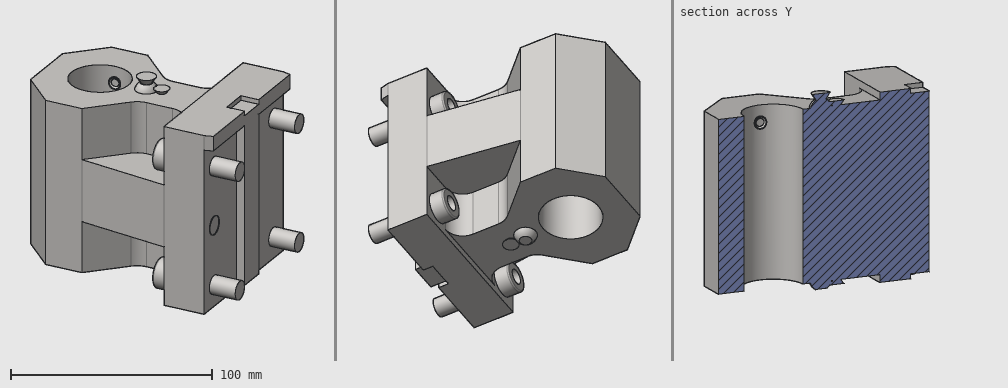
import cadquery as cq

body_height = 90.0
body_half_width = 35.0
corner_chamfer = 18.0
body_straight_end_x = 38.2
neck_half_width = 14.0
neck_radius = 10.0
web_height = 34.0

plate_front_x = 88.0
plate_thickness = 22.5
plate_width = 84.0
plate_height = 98.0
lip_depth = 4.5
lip_height = 8.0
lip_end_taper = 1.2
plate_half_width = plate_width / 2
plate_rear_x = plate_front_x + plate_thickness
lip_rear_x = plate_rear_x + lip_depth

key_width = 15.0
key_slot_depth = 10.0
key_end_gap = 2.5

bore_x = 30.0
bore_diameter = 32.0
set_screw_diameter = 6.6
set_screw_cup_diameter = 5.8
set_screw_cup_floor_diameter = 3.2
set_screw_cup_depth = 1.2
set_screw_protrusion = 0.9
set_screw_length = 7.5
set_screw_drop = 9.0

bolt_half_spacing_y = 31.5
bolt_half_spacing_z = 32.5
bolt_centre_z = -4.5
bolt_shank_diameter = 10.0
bolt_protrusion = 10.0
bolt_head_diameter = 16.0
bolt_head_height = 8.0
bolt_head_fillet = 0.8
bolt_socket_diameter = 8.0
bolt_socket_depth = 4.0
bolt_socket_cone_depth = 2.2

seal_diameter = 10.0
seal_thickness = 0.4

nozzle_x = 56.0
ball_radius = 6.1
ball_centre_depth = 1.6
ball_height = 3.6
flare_root_radius = 2.8
flare_top_radius = 5.0
flare_height = 3.4
plug_x = 64.5
plug_root_radius = 2.4
plug_top_radius = 4.1
plug_height = 2.2


def centred_prism(points, height):
    """Extrude a closed XY outline symmetrically about Z = 0."""
    return cq.Workplane("XY").polyline(points).close().extrude(height / 2, both=True)


def mirrored_outline(upper_points):
    """Close a +Y half outline with its reflection in the X axis."""
    return upper_points + [(x, -y) for x, y in reversed(upper_points)]


def box_between(x_range, width, z_range):
    """Box centred on Y = 0 between the given X and Z limits."""
    length = x_range[1] - x_range[0]
    height = z_range[1] - z_range[0]
    return (
        cq.Workplane("XY")
        .box(length, width, height, centered=(False, True, False))
        .translate((x_range[0], 0, z_range[0]))
    )


def make_body():
    """Chamfered clamping body that tapers out to the plate, relieved above and below the web."""
    outline = mirrored_outline([
        (0, body_half_width - corner_chamfer),
        (corner_chamfer, body_half_width),
        (body_straight_end_x, body_half_width),
        (plate_front_x, plate_half_width),
    ])
    body = centred_prism(outline, body_height)
    neck_start_x = body_straight_end_x + body_half_width - neck_half_width
    overshoot = plate_half_width - body_half_width
    for side in (1, -1):
        relief_points = [
            (body_straight_end_x - overshoot, side * plate_half_width),
            (neck_start_x, side * neck_half_width),
            (plate_front_x, side * neck_half_width),
            (plate_front_x, side * plate_half_width),
        ]
        relief = centred_prism(relief_points, body_height)
        neck_corner = cq.selectors.NearestToPointSelector((neck_start_x, side * neck_half_width, 0))
        plate_corner = cq.selectors.NearestToPointSelector((plate_front_x, side * neck_half_width, 0))
        for corner in (plate_corner, neck_corner):
            relief = relief.edges("|Z").edges(corner).fillet(neck_radius)
        web_gap = box_between(
            (0, plate_front_x), plate_width, (-web_height / 2, web_height / 2)
        )
        body = body.cut(relief.cut(web_gap))
    return body


def make_plate():
    """Mounting plate, top lip with tapered ends, and the slot with its key."""
    top_z = plate_height / 2
    plate = box_between((plate_front_x, plate_rear_x), plate_width, (-top_z, top_z))
    lip_outline = mirrored_outline([
        (plate_rear_x, plate_half_width),
        (lip_rear_x, plate_half_width - lip_end_taper),
    ])
    lip = (
        cq.Workplane("XY", origin=(0, 0, top_z - lip_height))
        .polyline(lip_outline)
        .close()
        .extrude(lip_height)
    )
    key_x_range = (lip_rear_x - key_slot_depth, lip_rear_x)
    key_top_z = top_z - key_end_gap
    slot = box_between(key_x_range, key_width, (-top_z, top_z))
    key = box_between(key_x_range, key_width, (-key_top_z, key_top_z))
    return plate.union(lip).cut(slot).union(key)


def make_bolt(y, z):
    """Socket head bolt along X, its head seated on the front of the plate and its socket ending in a cone."""
    head_x = plate_front_x - bolt_head_height
    head = (
        cq.Workplane("YZ", origin=(head_x, y, z))
        .circle(bolt_head_diameter / 2)
        .extrude(bolt_head_height)
        .faces("<X")
        .fillet(bolt_head_fillet)
    )
    socket = (
        cq.Workplane("YZ", origin=(head_x, y, z))
        .circle(bolt_socket_diameter / 2)
        .extrude(bolt_socket_depth)
    )
    socket_cone = cq.Workplane(cq.Solid.makeCone(
        bolt_socket_diameter / 2,
        0,
        bolt_socket_cone_depth,
        pnt=cq.Vector(head_x + bolt_socket_depth, y, z),
        dir=cq.Vector(1, 0, 0),
    ))
    shank = (
        cq.Workplane("YZ", origin=(plate_front_x, y, z))
        .circle(bolt_shank_diameter / 2)
        .extrude(lip_rear_x + bolt_protrusion - plate_front_x)
    )
    return head.cut(socket).cut(socket_cone).union(shank)


def make_set_screw(side):
    """Set screw along Y whose cup-shaped tip stands proud of the bore wall."""
    tip_y = bore_diameter / 2 - set_screw_protrusion
    screw_z = body_height / 2 - set_screw_drop
    plane = cq.Workplane("XZ", origin=(bore_x, side * tip_y, screw_z))
    screw = plane.circle(set_screw_diameter / 2).extrude(-side * set_screw_length)
    cup = cq.Workplane(cq.Solid.makeCone(
        set_screw_cup_diameter / 2,
        set_screw_cup_floor_diameter / 2,
        set_screw_cup_depth,
        pnt=cq.Vector(bore_x, side * tip_y, screw_z),
        dir=cq.Vector(0, side, 0),
    ))
    return screw.cut(cup)


def make_flare(x, base_z, root_radius, top_radius, height):
    """Cone widening upwards from base_z."""
    cone = cq.Solid.makeCone(root_radius, top_radius, height, pnt=cq.Vector(x, 0, base_z))
    return cq.Workplane(cone)


def make_nozzle_ball():
    """Ball set into the top face, cut flat at its crown."""
    face_z = body_height / 2
    ball = cq.Workplane("XY").sphere(ball_radius)
    ball = ball.translate((nozzle_x, 0, face_z - ball_centre_depth))
    crown_z = face_z + ball_height
    keep_size = 4 * ball_radius
    keep_height = box_between(
        (nozzle_x - keep_size / 2, nozzle_x + keep_size / 2),
        keep_size,
        (crown_z - keep_size, crown_z),
    )
    return ball.intersect(keep_height)


def mirror_in_z(shape):
    return shape.mirror("XY")


result = make_body().union(make_plate())

bore = cq.Workplane("XY").center(bore_x, 0).circle(bore_diameter / 2).extrude(body_height / 2, both=True)
result = result.cut(bore)
for screw_side in (1, -1):
    result = result.union(make_set_screw(screw_side))

for bolt_y in (-bolt_half_spacing_y, bolt_half_spacing_y):
    for z_offset in (-bolt_half_spacing_z, bolt_half_spacing_z):
        result = result.union(make_bolt(bolt_y, bolt_centre_z + z_offset))

seal = (
    cq.Workplane("YZ", origin=(plate_rear_x, -bolt_half_spacing_y, bolt_centre_z))
    .circle(seal_diameter / 2)
    .extrude(seal_thickness)
)
result = result.union(seal)

nozzle_ball = make_nozzle_ball()
plug = make_flare(plug_x, body_height / 2, plug_root_radius, plug_top_radius, plug_height)
flare_base_z = body_height / 2 + ball_height
flare = make_flare(nozzle_x, flare_base_z, flare_root_radius, flare_top_radius, flare_height)
for fitting in (nozzle_ball, plug):
    result = result.union(fitting).union(mirror_in_z(fitting))
result = result.union(flare)